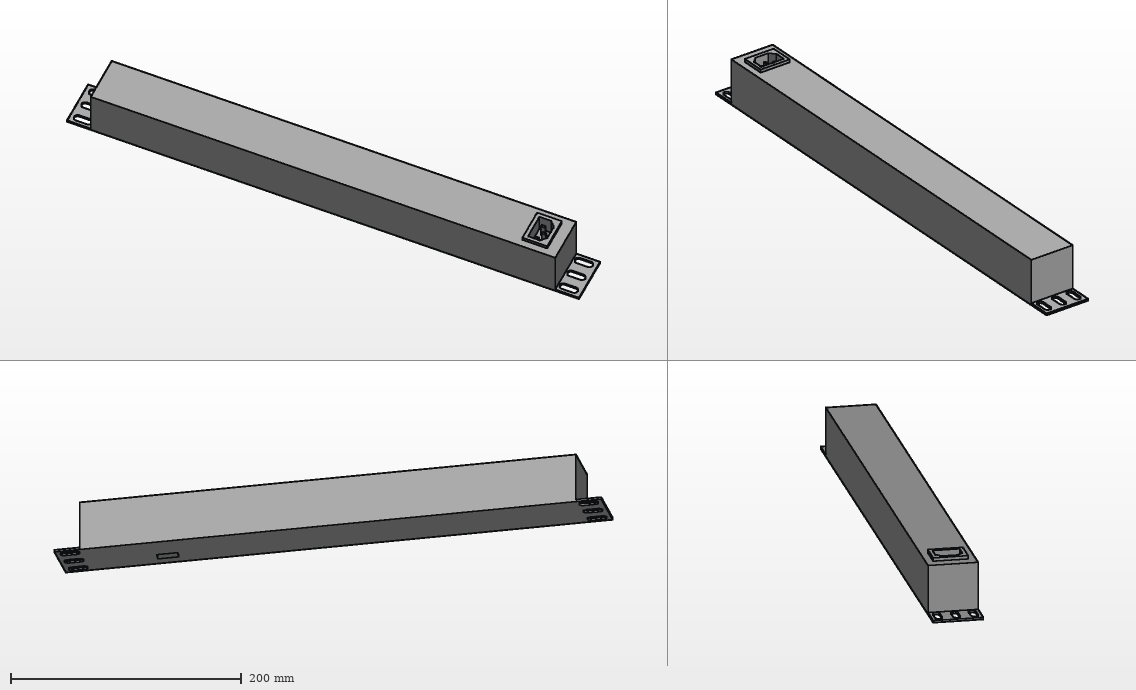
import cadquery as cq

overall_length = 487.0
body_width = 44.45
overall_height = 50.0

body_length = 442.0
body_height = 45.0
plate_thickness = 2.0

slot_length = 17.0
slot_width = 6.5
slot_pitch = 15.875
slot_center_x = 231.0

inlet_center_x = 198.5
inlet_length = 23.5
inlet_width = 31.0
inlet_height = 3.0
socket_length = 16.0
socket_width = 24.0
socket_depth = 16.0
socket_chamfer = 5.0
pin_length = 4.0
pin_thickness = 2.0
pin_height = 11.5
pin_spacing_y = 7.0
pin_offset_x = 2.0
outer_pin_x = inlet_center_x - pin_offset_x
middle_pin_x = inlet_center_x + pin_offset_x

rocker_center_x = 149.0
rocker_length = 18.5
rocker_inner_y = -3.5
rocker_tip_y = -8.0
rocker_outer_y = -8.8
rocker_face_radius = 39.0 / 2
rocker_drop = overall_height - body_height - inlet_height

inlet_top = body_height + inlet_height
socket_floor = inlet_top - socket_depth


def make_body():
    plate = cq.Workplane("XY").box(
        overall_length, body_width, plate_thickness, centered=(True, True, False)
    )
    housing = cq.Workplane("XY").box(
        body_length, body_width, body_height, centered=(True, True, False)
    )
    return plate.union(housing)


def make_slots():
    centers = [
        (side * slot_center_x, row * slot_pitch) for side in (-1, 1) for row in (-1, 0, 1)
    ]
    return (
        cq.Workplane("XY")
        .pushPoints(centers)
        .slot2D(slot_length, slot_width)
        .extrude(plate_thickness)
    )


def make_inlet_flange():
    return (
        cq.Workplane("XY", origin=(inlet_center_x, 0, body_height))
        .rect(inlet_length, inlet_width)
        .extrude(inlet_height)
    )


def make_socket():
    return (
        cq.Workplane("XY", origin=(inlet_center_x, 0, socket_floor))
        .rect(socket_length, socket_width)
        .extrude(socket_depth)
        .edges("|Z and >X")
        .chamfer(socket_chamfer)
    )


def make_pins():
    centers = [
        (outer_pin_x, -pin_spacing_y),
        (middle_pin_x, 0),
        (outer_pin_x, pin_spacing_y),
    ]
    return (
        cq.Workplane("XY", origin=(0, 0, socket_floor))
        .pushPoints(centers)
        .rect(pin_length, pin_thickness)
        .extrude(pin_height)
    )


def make_rocker():
    return (
        cq.Workplane("YZ", origin=(rocker_center_x - rocker_length / 2, 0, 0))
        .moveTo(rocker_inner_y, 0)
        .radiusArc((rocker_tip_y, -rocker_drop), -rocker_face_radius)
        .lineTo(rocker_outer_y, 0)
        .close()
        .extrude(rocker_length)
    )


result = (
    make_body()
    .cut(make_slots())
    .union(make_inlet_flange())
    .cut(make_socket())
    .union(make_pins())
    .union(make_rocker())
)